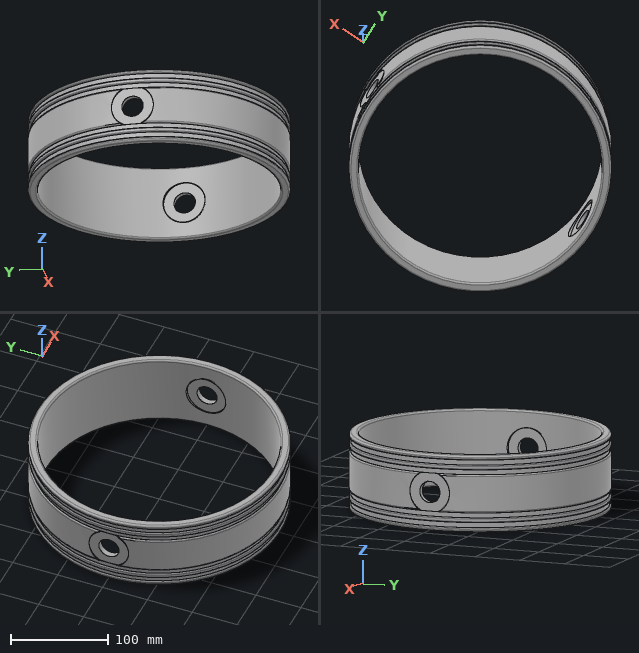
import cadquery as cq

outer_diameter = 270.0
bore_diameter = 250.0
height = 80.0
rim_fillet = 2.2
bore_fillet = 2.0

groove_diameter = 266.0
band_top = 20.0
rib_bottom = 25.0
rib_top = 30.0
rim_bottom = 35.4
band_fillet = 1.5
rib_fillet = 1.0

hole_diameter = 22.0
spotface_diameter = 44.0
inner_spotface_depth = 1.0

half_height = height / 2
outer_radius = outer_diameter / 2
bore_radius = bore_diameter / 2
outer_flat = groove_diameter / 2
inner_flat = bore_radius + inner_spotface_depth
cut_margin = 2.7

outermost = cq.selectors.RadiusNthSelector(-1)
innermost = cq.selectors.RadiusNthSelector(0)


def ring(diameter, bottom, top):
    """Ring of the given outside diameter around the bore, between two heights."""
    section = cq.Workplane("XY", origin=(0, 0, bottom)).circle(diameter / 2).circle(bore_radius)
    return section.extrude(top - bottom)


def land(bottom, top, fillet):
    """Full-diameter ring with both outer edges rounded."""
    return ring(outer_diameter, bottom, top).edges(outermost).fillet(fillet)


def end_rim():
    """Top end land, rounded more at the end face than beside the groove."""
    rim = ring(outer_diameter, rim_bottom, half_height)
    rim = rim.faces("<Z").edges(outermost).fillet(rib_fillet)
    rim = rim.faces(">Z").edges(outermost).fillet(rim_fillet)
    return rim


def cylinder_along_x(diameter, start, end):
    """Cylinder on the X axis between two X positions."""
    return cq.Workplane("YZ", origin=(start, 0, 0)).circle(diameter / 2).extrude(end - start)


upper_rib = land(rib_bottom, rib_top, rib_fillet)
upper_rim = end_rim()
body = ring(groove_diameter, -rim_bottom, rim_bottom)
body = body.union(land(-band_top, band_top, band_fillet))
for raised in (upper_rib, upper_rim):
    body = body.union(raised).union(raised.mirror("XY"))

for end_face in (">Z", "<Z"):
    body = body.faces(end_face).edges(innermost).fillet(bore_fillet)

body = body.cut(cylinder_along_x(spotface_diameter, -inner_flat, inner_flat))
for side in (-1, 1):
    outside = side * (outer_radius + cut_margin)
    body = body.cut(cylinder_along_x(spotface_diameter, side * outer_flat, outside))
body = body.cut(cylinder_along_x(hole_diameter, -outer_radius, outer_radius))

result = body